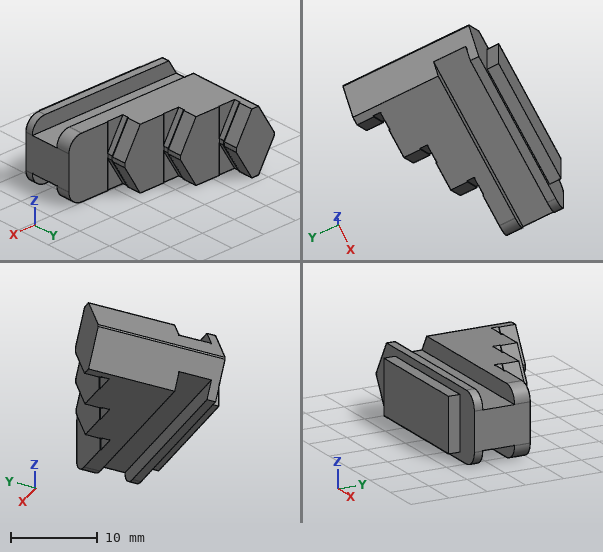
import cadquery as cq
import math

length = 24.0
body_depth = 16.32
height = 9.0
corner_radius = 2.0

flank_angle = math.radians(60)
tip_flat = 0.26
half_height = height / 2
half_tip = tip_flat / 2
point_length = (half_height - half_tip) / math.tan(flank_angle)
step_tip_flat = 0.6
half_step_tip = step_tip_flat / 2
step_point_length = (half_height - half_step_tip) / math.tan(flank_angle)

step_count = 3
step_run = length / (step_count + 1)
step_rise = 3.0
first_floor = body_depth - step_count * step_rise

foot_height = 0.85
foot_setback = 0.15
foot_undercut = 0.1

front_lip = 1.1
groove_width = 4.15
groove_depth = 2.02

pad_x = 4.65
pad_length = 15.8
pad_height = 7.0
pad_thickness = 1.5


def box(x, y, z, dx, dy, dz):
    """Box from its lowest corner and its sizes."""
    return cq.Workplane("XY").box(dx, dy, dz, centered=False).translate((x, y, z))


def extrude_along_y(profile, y_start, y_end):
    """Extrude an XZ profile between two Y positions."""
    return profile.extrude(y_start - y_end).translate((0, y_start, 0))


def front_block():
    """Full-length bar with the pointed -X edge and rounded +X corners."""
    profile = (
        cq.Workplane("XZ")
        .moveTo(0, -half_tip)
        .lineTo(point_length, -half_height)
        .lineTo(length, -half_height)
        .lineTo(length, half_height)
        .lineTo(point_length, half_height)
        .lineTo(0, half_tip)
        .close()
    )
    block = extrude_along_y(profile, 0, first_floor)
    return block.edges("|Y and >X").fillet(corner_radius)


def pointed_slab(tip_x, y_start, y_end):
    """Slab pointed on both X sides, reaching tip_x on the +X side."""
    shoulder_x = tip_x - step_point_length
    profile = (
        cq.Workplane("XZ")
        .moveTo(0, -half_tip)
        .lineTo(point_length, -half_height)
        .lineTo(shoulder_x, -half_height)
        .lineTo(tip_x, -half_step_tip)
        .lineTo(tip_x, half_step_tip)
        .lineTo(shoulder_x, half_height)
        .lineTo(point_length, half_height)
        .lineTo(0, half_tip)
        .close()
    )
    return extrude_along_y(profile, y_start, y_end)


def foot_relief(tip_x, floor_y):
    """Shallow undercut continuing the step foot's flanks below its floor."""
    span = step_point_length
    bar = box(tip_x - span, floor_y - foot_undercut, -half_height, span, foot_undercut, height)
    return bar.cut(pointed_slab(tip_x, floor_y - foot_undercut, floor_y))


body = front_block()
for step in range(step_count):
    floor_y = first_floor + step * step_rise
    foot_top = floor_y + foot_height
    tip_x = length - (step + 1) * step_run
    foot_tip_x = tip_x - foot_setback
    body = body.union(pointed_slab(foot_tip_x, floor_y, foot_top))
    body = body.union(pointed_slab(tip_x, foot_top, floor_y + step_rise))
    body = body.cut(foot_relief(foot_tip_x, floor_y))

for groove_z in (-half_height, half_height - groove_depth):
    body = body.cut(box(0, front_lip, groove_z, length, groove_width, groove_depth))

pad = box(pad_x, -pad_thickness, -pad_height / 2, pad_length, pad_thickness, pad_height)

result = body.union(pad)